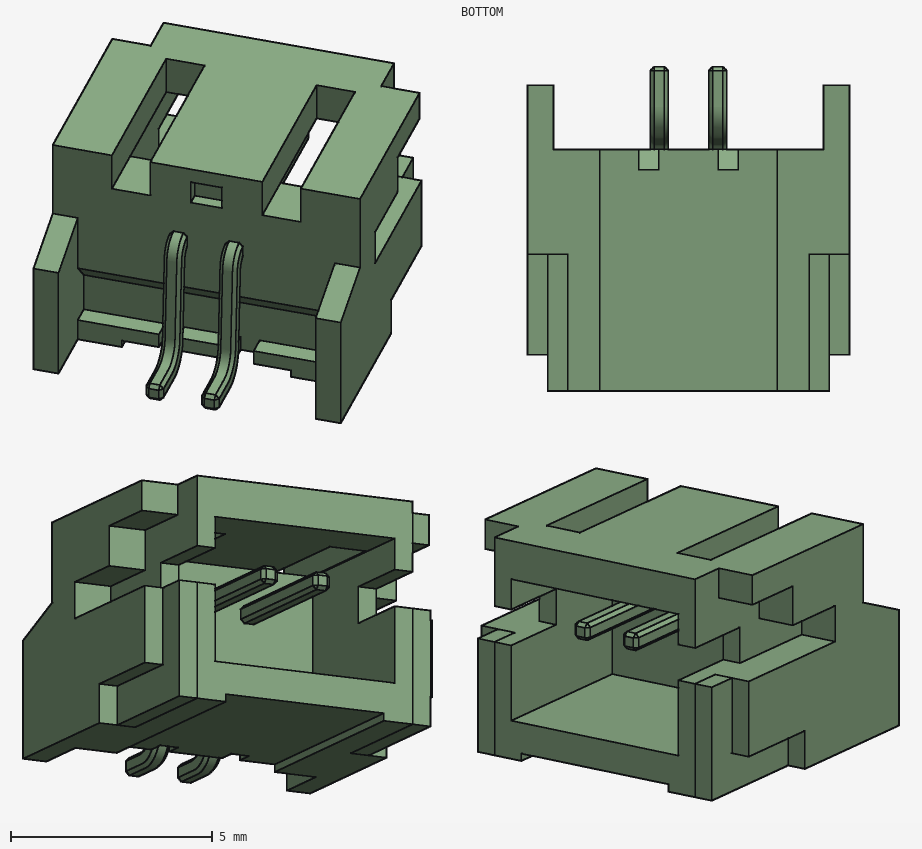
import cadquery as cq
import math


width = 8.0
height = 5.7
body_depth = 6.005
half_width = width / 2

side_step = 0.5
wall = 2 * side_step
cavity_half_width = half_width - wall - side_step
cavity_depth = 4.5
cavity_top = height - wall

flange_depth = 7.6
flange_thickness = 0.65
flange_root_top = 3.64
flange_tip_top = 3.02

sill_top = 2.97
corner_notch_depth = 1.06
corner_notch_bottom = 4.925
side_notch_depth = 2.86
side_notch_bottom = 3.9
side_window_depth = 4.75
side_slit_depth = 2.0

groove_offset = 1.96
groove_width = 1.0
groove_start_depth = 1.51
pocket_width = 0.81
pocket_height = 0.61
pocket_recess = 0.32

undercut_recess = 0.5
undercut_top = 2.135
undercut_slope_bottom = 1.61
lip_top = 0.58
lip_slot_inner = 0.74
lip_slot_outer = 1.23
base_relief_width = 4.4
base_relief_height = 0.19

tab_thickness = side_step
tab_depth = 0.9
tab_foot_depth = 3.4
tab_foot_height = 1.0

pin_pitch = 1.45
pin_size = 0.45
pin_chamfer = 0.1
pin_start_depth = 0.45
pin_end_depth = 8.06
pin_center_height = 3.52
pin_lean = math.radians(3.8)
upper_bend_depth = 6.31
upper_outer_radius = 0.55
upper_inner_radius = 0.25
lower_inner_radius = 0.55
lower_outer_radius = 0.79


def block(x_min, x_max, depth_min, depth_max, z_min, z_max):
    """Axis-aligned box placed by its X range, depth range and Z range."""
    size = (x_max - x_min, depth_max - depth_min, z_max - z_min)
    return cq.Workplane("XY").box(*size, centered=False).translate((x_min, -depth_max, z_min))


def mirrored(left):
    """Return a left-hand shape and its right-hand mirror image."""
    return [left, left.mirror("YZ")]


def make_tab():
    """Left solder tab: an upright plate with a long foot, let into the side wall."""
    outer_x = -half_width + side_step
    outline = [
        (0, 0),
        (-tab_foot_depth, 0),
        (-tab_foot_depth, tab_foot_height),
        (-tab_depth, tab_foot_height),
        (-tab_depth, sill_top),
        (0, sill_top),
    ]
    return cq.Workplane("YZ", origin=(outer_x, 0, 0)).polyline(outline).close().extrude(tab_thickness)


def make_pin(center_x):
    """Square pin: runs through the back wall, bent down, then bent out into a foot."""
    half_size = pin_size / 2
    foot_height = half_size
    lower_bend_depth = upper_bend_depth + (pin_center_height - foot_height) * math.tan(pin_lean)
    miter_shift = half_size * math.tan((math.pi / 2 - pin_lean) / 2)

    start_y = -pin_start_depth
    end_y = -pin_end_depth
    upper_y = -upper_bend_depth
    lower_y = -lower_bend_depth
    top = pin_center_height + half_size
    underside = pin_center_height - half_size
    upper_outer_corner = (upper_y - miter_shift, top)
    lower_inner_corner = (lower_y - miter_shift, pin_size)
    lower_outer_corner = (lower_y + miter_shift, 0)
    upper_inner_corner = (upper_y + miter_shift, underside)

    outline = [
        (start_y, top),
        upper_outer_corner,
        lower_inner_corner,
        (end_y, pin_size),
        (end_y, 0),
        lower_outer_corner,
        upper_inner_corner,
        (start_y, underside),
    ]
    left = center_x - half_size
    bar = cq.Workplane("YZ", origin=(left, 0, 0)).polyline(outline).close().extrude(pin_size)

    rounded_corners = [
        (upper_outer_corner, upper_outer_radius),
        (upper_inner_corner, upper_inner_radius),
        (lower_inner_corner, lower_inner_radius),
        (lower_outer_corner, lower_outer_radius),
    ]
    for (corner_y, corner_z), radius in rounded_corners:
        corner_point = (center_x, corner_y, corner_z)
        bar = bar.edges(cq.selectors.NearestToPointSelector(corner_point)).fillet(radius)

    return bar.faces("<X or >X or <Y or >Y").edges().chamfer(pin_chamfer)


def make_flange():
    """Left flange: a side plate reaching back past the body, with a sloping top."""
    outline = [
        (-body_depth, 0),
        (-body_depth, flange_root_top),
        (-flange_depth, flange_tip_top),
        (-flange_depth, 0),
    ]
    return cq.Workplane("YZ", origin=(-half_width, 0, 0)).polyline(outline).close().extrude(flange_thickness)


def make_side_cutouts():
    """Everything removed from the left side wall, from the top corner down to the tab."""
    outer = -half_width
    inner = outer + wall
    corner_notch = block(outer, inner, 0, corner_notch_depth, corner_notch_bottom, height)
    side_notch = block(outer, inner, 0, side_notch_depth, side_notch_bottom, corner_notch_bottom)
    side_window = block(outer, inner, 0, side_window_depth, sill_top, side_notch_bottom)
    side_slit = block(inner, -cavity_half_width, 0, side_slit_depth, sill_top, side_notch_bottom)
    front_step = block(outer, outer + side_step, 0, tab_depth, tab_foot_height, sill_top)
    foot_step = block(outer, outer + side_step, 0, tab_foot_depth, 0, tab_foot_height)
    return [corner_notch, side_notch, side_window, side_slit, front_step, foot_step]


def make_groove():
    """Left groove in the top: opens into the cavity and runs out through the back."""
    left = -groove_offset - groove_width / 2
    return block(left, left + groove_width, groove_start_depth, body_depth, cavity_top, height)


def make_undercut():
    """Recess across the back wall between the flanges, with a sloping ceiling and a lip below."""
    recess_y = -body_depth + undercut_recess
    outline = [
        (-body_depth, lip_top),
        (recess_y, lip_top),
        (recess_y, undercut_slope_bottom),
        (-body_depth, undercut_top),
    ]
    left = -half_width + flange_thickness
    length = width - 2 * flange_thickness
    return cq.Workplane("YZ", origin=(left, 0, 0)).polyline(outline).close().extrude(length)


def make_lip_slot():
    """Left slot through the lip, beside the pin."""
    return block(-lip_slot_outer, -lip_slot_inner, body_depth - undercut_recess, body_depth, 0, lip_top)


def make_housing(inserts):
    housing = block(-half_width, half_width, 0, body_depth, 0, height)
    for flange in mirrored(make_flange()):
        housing = housing.union(flange)

    cavity = block(-cavity_half_width, cavity_half_width, 0, cavity_depth, wall, cavity_top)
    pocket_depth = body_depth - pocket_recess
    pocket = block(
        -pocket_width / 2, pocket_width / 2, pocket_depth, body_depth, cavity_top, cavity_top + pocket_height
    )
    base_relief = block(
        -base_relief_width / 2, base_relief_width / 2, 0, body_depth, 0, base_relief_height
    )
    for cutout in [cavity, pocket, base_relief, make_undercut()]:
        housing = housing.cut(cutout)

    for left_cutout in [*make_side_cutouts(), make_groove(), make_lip_slot()]:
        for cutout in mirrored(left_cutout):
            housing = housing.cut(cutout)

    for insert in inserts:
        housing = housing.cut(insert)
    return housing


tabs = mirrored(make_tab())
pins = [make_pin(side * pin_pitch / 2) for side in (-1, 1)]
housing = make_housing(tabs + pins)

bodies = [housing, *tabs, *pins]
result = cq.Compound.makeCompound([body.solids().val() for body in bodies])